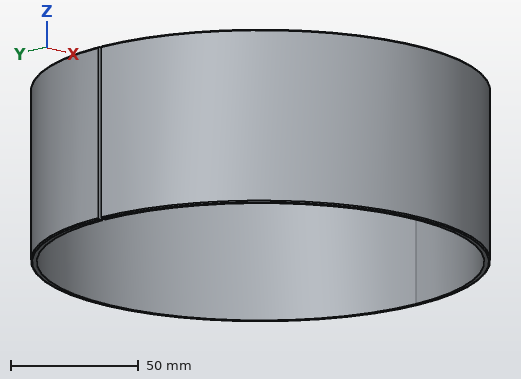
import cadquery as cq

outer_diameter = 180.0
height = 70.0
wall = 2.3
slit_width = 1.6
rim_chamfer = 0.5

outer_radius = outer_diameter / 2
inner_radius = outer_radius - wall

drum = (
    cq.Workplane("XY")
    .workplane(offset=-height / 2)
    .circle(outer_radius)
    .extrude(height)
    .faces("<Z or >Z")
    .edges()
    .chamfer(rim_chamfer)
)

bore = cq.Workplane("XY").workplane(offset=-height / 2).circle(inner_radius).extrude(height)
band = drum.cut(bore)

slit_length = 4 * wall
slit = (
    cq.Workplane("XY")
    .box(slit_length, slit_width, height)
    .translate((-outer_radius, slit_width / 2, 0))
)

result = band.cut(slit)